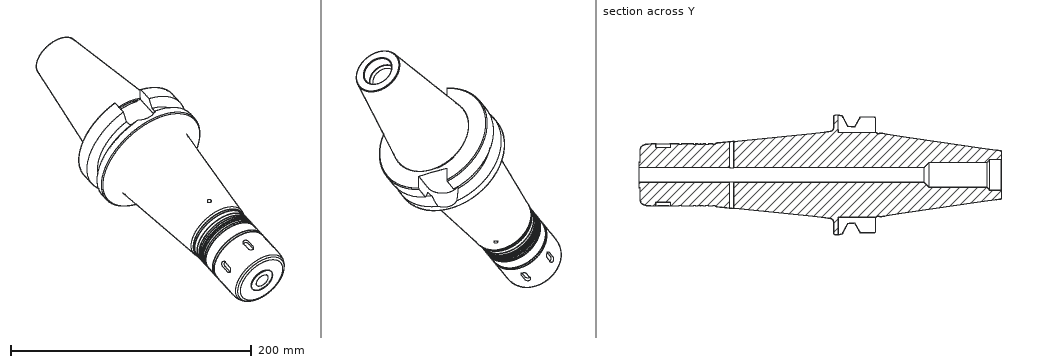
import cadquery as cq
import math

LENGTH = 301.8
FLANGE_RADIUS = 49.95

FILLET_MIDPOINT = 1 - math.sqrt(0.5)

SHANK_TIP_RADIUS = 20.2
SHANK_TIP_CHAMFER = 0.5
SHANK_RADIUS = 35.0
SHANK_END = 101.0
NECK_START = 102.0
NECK_RADIUS = 34.5
NECK_FILLET = 2.0

FLANGE_START = 104.7
FLANGE_END = 139.7
FLANGE_CHAMFER = 1.0
V_GROOVE_RADIUS = 42.3
V_GROOVE_START = 117.7
V_GROOVE_END = 132.5
V_GROOVE_SLOPE = math.tan(math.radians(30))
V_GROOVE_FLANK = (FLANGE_RADIUS - V_GROOVE_RADIUS) * V_GROOVE_SLOPE

SLOT_WIDTH = 26.0
SLOT_FLOOR = 35.3
SLOT_END = 135.8

BODY_FILLET = 3.5
BODY_RADIUS = 36.2
BODY_END_RADIUS = 27.0
BODY_END = 235.0
SHOULDER_END = 236.5

NUT_START = 238.5
NUT_RADIUS = 26.0
NUT_GROOVE_RADIUS = 25.5
NUT_GROOVES = [(238.5, 240.2), (244.0, 246.5), (248.5, 250.2), (251.0, 252.5), (254.7, 256.5), (266.5, 268.5)]

NOSE_CORNERS = [(291.2, NUT_RADIUS), (295.8, 25.7), (298.5, 24.7), (300.0, 23.5), (301.0, 21.5)]
NUT_FACE = NOSE_CORNERS[-1][0]
COLLET_RADIUS = 10.7

SPANNER_COUNT = 6
SPANNER_X = 281.5
SPANNER_LENGTH = 12.0
SPANNER_WIDTH = 4.8
SPANNER_DEPTH = 3.0

MOUTH_RADIUS = 13.3
MOUTH_CHAMFER = 0.5
ENTRY_DEPTH = 10.3
THREAD_MOUTH_RADIUS = 12.0
THREAD_RADIUS = 10.3
THREAD_DEPTH = 60.5
THROUGH_RADIUS = 6.0

CROSS_HOLE_X = 224.5
CROSS_HOLE_DIAMETER = 3.3


def make_body():
    """Revolve the outer outline about the X axis."""
    neck_fillet_mid = NECK_FILLET * FILLET_MIDPOINT
    body_fillet_mid = BODY_FILLET * FILLET_MIDPOINT
    outline = (
        cq.Workplane("XY")
        .lineTo(0, SHANK_TIP_RADIUS - SHANK_TIP_CHAMFER)
        .lineTo(SHANK_TIP_CHAMFER, SHANK_TIP_RADIUS)
        .lineTo(SHANK_END, SHANK_RADIUS)
        .lineTo(NECK_START, NECK_RADIUS)
        .lineTo(FLANGE_START - NECK_FILLET, NECK_RADIUS)
        .threePointArc(
            (FLANGE_START - neck_fillet_mid, NECK_RADIUS + neck_fillet_mid),
            (FLANGE_START, NECK_RADIUS + NECK_FILLET),
        )
        .lineTo(FLANGE_START, FLANGE_RADIUS - FLANGE_CHAMFER)
        .lineTo(FLANGE_START + FLANGE_CHAMFER, FLANGE_RADIUS)
        .lineTo(V_GROOVE_START, FLANGE_RADIUS)
        .lineTo(V_GROOVE_START + V_GROOVE_FLANK, V_GROOVE_RADIUS)
        .lineTo(V_GROOVE_END - V_GROOVE_FLANK, V_GROOVE_RADIUS)
        .lineTo(V_GROOVE_END, FLANGE_RADIUS)
        .lineTo(FLANGE_END - FLANGE_CHAMFER, FLANGE_RADIUS)
        .lineTo(FLANGE_END, FLANGE_RADIUS - FLANGE_CHAMFER)
        .lineTo(FLANGE_END, BODY_RADIUS + BODY_FILLET)
        .threePointArc(
            (FLANGE_END + body_fillet_mid, BODY_RADIUS + body_fillet_mid),
            (FLANGE_END + BODY_FILLET, BODY_RADIUS),
        )
        .lineTo(BODY_END, BODY_END_RADIUS)
        .lineTo(SHOULDER_END, BODY_END_RADIUS)
        .lineTo(NUT_START, NUT_RADIUS)
        .polyline(NOSE_CORNERS, includeCurrent=True)
        .lineTo(NUT_FACE, COLLET_RADIUS)
        .lineTo(LENGTH, COLLET_RADIUS)
        .lineTo(LENGTH, 0)
        .close()
    )
    return outline.revolve(360, (0, 0, 0), (1, 0, 0))


def ring(start, end, inner_radius, outer_radius):
    """Ring about the X axis, used to cut a groove."""
    return (
        cq.Workplane("YZ", origin=(start, 0, 0))
        .circle(outer_radius)
        .circle(inner_radius)
        .extrude(end - start)
    )


def make_drive_slot():
    """Round-ended slot cutter that stands on the upper slot floor."""
    arc_x = SLOT_END - SLOT_WIDTH / 2
    outline = (
        cq.Workplane("XY", origin=(0, 0, SLOT_FLOOR))
        .moveTo(SHANK_END, -SLOT_WIDTH / 2)
        .lineTo(arc_x, -SLOT_WIDTH / 2)
        .threePointArc((SLOT_END, 0), (arc_x, SLOT_WIDTH / 2))
        .lineTo(SHANK_END, SLOT_WIDTH / 2)
        .close()
    )
    return outline.extrude(FLANGE_RADIUS)


def make_bore():
    """Stepped bore, open at both ends, with a cone down to the through hole."""
    entry_radius = MOUTH_RADIUS - MOUTH_CHAMFER
    cone_end = THREAD_DEPTH + THREAD_RADIUS - THROUGH_RADIUS
    outline = (
        cq.Workplane("XY")
        .lineTo(0, MOUTH_RADIUS)
        .lineTo(MOUTH_CHAMFER, entry_radius)
        .lineTo(ENTRY_DEPTH, entry_radius)
        .lineTo(ENTRY_DEPTH, THREAD_MOUTH_RADIUS)
        .lineTo(ENTRY_DEPTH + THREAD_MOUTH_RADIUS - THREAD_RADIUS, THREAD_RADIUS)
        .lineTo(THREAD_DEPTH, THREAD_RADIUS)
        .lineTo(cone_end, THROUGH_RADIUS)
        .lineTo(LENGTH, THROUGH_RADIUS)
        .lineTo(LENGTH, 0)
        .close()
    )
    return outline.revolve(360, (0, 0, 0), (1, 0, 0))


def make_spanner_slot():
    """Cutter for the spanner slot at the top of the nut."""
    return (
        cq.Workplane("XY", origin=(SPANNER_X, 0, NUT_RADIUS - SPANNER_DEPTH))
        .slot2D(SPANNER_LENGTH, SPANNER_WIDTH)
        .extrude(2 * SPANNER_DEPTH)
    )


def make_cross_hole():
    """Vertical hole through the tapered body."""
    return (
        cq.Workplane("XY", origin=(CROSS_HOLE_X, 0, -BODY_RADIUS))
        .circle(CROSS_HOLE_DIAMETER / 2)
        .extrude(2 * BODY_RADIUS)
    )


result = make_body()

for groove_start, groove_end in NUT_GROOVES:
    result = result.cut(ring(groove_start, groove_end, NUT_GROOVE_RADIUS, FLANGE_RADIUS))

for angle in (0, 180):
    result = result.cut(make_drive_slot().rotate((0, 0, 0), (1, 0, 0), angle))

for index in range(SPANNER_COUNT):
    angle = index * 360 / SPANNER_COUNT
    result = result.cut(make_spanner_slot().rotate((0, 0, 0), (1, 0, 0), angle))

result = result.cut(make_bore()).cut(make_cross_hole())